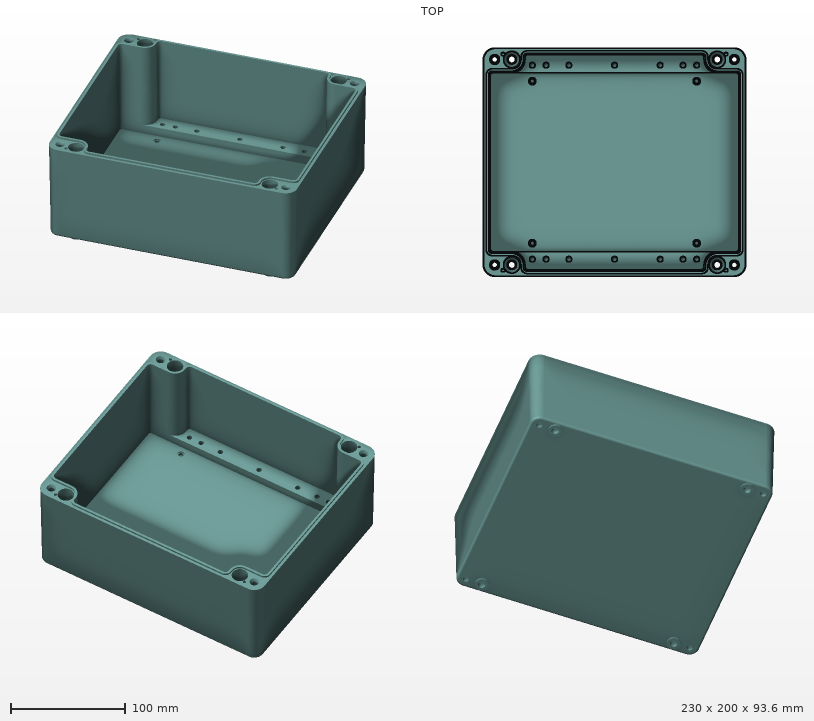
import cadquery as cq
import math

LENGTH = 230.0
WIDTH = 200.0
TOTAL_HEIGHT = 93.6
CORNER_RADIUS = 10.5
DRAFT = 1.0
BOTTOM_FILLET = 2.2
FOOT_HEIGHT = 1.2
FOOT_RADIUS = 6.2
LIP_HEIGHT = 1.8
LIP_WIDTH = 2.1
RIM_Z = TOTAL_HEIGHT - LIP_HEIGHT

CAVITY_HALF_X = 110.4
CAVITY_HALF_Y = 95.5
CAVITY_CORNER_RADIUS = 3.5
POST_X = 90.0
POST_Y = 90.0
POST_RADIUS = 10.2
FLOOR_Z = 6.0
SHELF_HEIGHT = 8.5
SHELF_Z = FLOOR_Z + SHELF_HEIGHT

BORE_RADIUS = 7.2
SEAT_RADIUS = 4.0
BORE_FLOOR_Z = 6.0
CLEARANCE_RADIUS = 3.3

CORNER_HOLE_X = 105.0
CORNER_HOLE_Y = 90.0
CORNER_HOLE_RADIUS = 2.7
CORNER_SINK_RADIUS = 4.2
CORNER_SINK_DEPTH = 2.6

PIN_HOLE_X = 97.7
PIN_HOLE_Y = 94.7
PIN_HOLE_RADIUS = 1.5
PIN_HOLE_DEPTH = 3.0

SHELF_HOLE_XS = (-72.0, -60.0, -40.0, 0.0, 40.0, 60.0, 72.0)
SHELF_HOLE_Y = 85.0
SHELF_HOLE_RADIUS = 2.4
SHELF_HOLE_DEPTH = 8.0

FLOOR_HOLE_X = 72.0
FLOOR_HOLE_Y = 71.0
FLOOR_HOLE_RADIUS = 2.1
FLOOR_HOLE_DEPTH = 3.5
FLOOR_RECESS_RADIUS = 3.1
FLOOR_RECESS_DEPTH = 1.0

DRILL_POINT_HALF_ANGLE = 59.0

QUADRANTS = [(sx, sy) for sx in (-1, 1) for sy in (-1, 1)]


def draft_inset(depth):
    """Distance a drafted wall moves inwards over a vertical depth."""
    return depth * math.tan(math.radians(DRAFT))


def rounded_rectangle(z, size_x, size_y, radius):
    outline = cq.Sketch().rect(size_x, size_y).vertices().fillet(radius)
    return cq.Workplane("XY", origin=(0, 0, z)).placeSketch(outline)


def cavity_outline(z, inset):
    """Cavity outline at height z: straight runs joined by arcs around the corners and posts."""
    half_x = CAVITY_HALF_X - inset
    half_y = CAVITY_HALF_Y - inset
    notch_x = POST_X - POST_RADIUS - inset
    notch_y = POST_Y - POST_RADIUS - inset
    corner = CAVITY_CORNER_RADIUS - inset
    post = POST_RADIUS + inset
    corner_mid = corner * math.sqrt(0.5)
    post_mid = post * math.sqrt(0.5)

    side_corner = (half_x - corner, notch_y - corner)
    end_corner = (notch_x - corner, half_y - corner)
    quarter = [
        (
            (half_x, side_corner[1]),
            (side_corner[0] + corner_mid, side_corner[1] + corner_mid),
            (side_corner[0], notch_y),
        ),
        (
            (POST_X, notch_y),
            (POST_X - post_mid, POST_Y - post_mid),
            (notch_x, POST_Y),
        ),
        (
            (notch_x, end_corner[1]),
            (end_corner[0] + corner_mid, end_corner[1] + corner_mid),
            (end_corner[0], half_y),
        ),
    ]
    arcs = []
    for sx, sy in ((1, 1), (-1, 1), (-1, -1), (1, -1)):
        mirrored = [tuple((sx * x, sy * y) for x, y in arc) for arc in quarter]
        if sx * sy < 0:
            mirrored = [arc[::-1] for arc in reversed(mirrored)]
        arcs += mirrored

    outline = cq.Workplane("XY", origin=(0, 0, z)).moveTo(*arcs[0][0])
    for index, (start, middle, end) in enumerate(arcs):
        if index:
            outline = outline.lineTo(*start)
        outline = outline.threePointArc(middle, end)
    return outline.close()


def make_shell():
    height = RIM_Z - FOOT_HEIGHT
    shell = rounded_rectangle(RIM_Z, LENGTH, WIDTH, CORNER_RADIUS).extrude(-height, taper=DRAFT)
    return shell.faces("<Z").edges().fillet(BOTTOM_FILLET)


def make_lip():
    return cavity_outline(RIM_Z, -LIP_WIDTH).extrude(LIP_HEIGHT)


def make_upper_cavity():
    """Drafted cavity from the lip down to the shelves."""
    return cavity_outline(TOTAL_HEIGHT, 0).extrude(SHELF_Z - TOTAL_HEIGHT, taper=DRAFT)


def make_lower_cavity():
    """Drafted well between the two shelves, in line with the walls above it."""
    inset = draft_inset(TOTAL_HEIGHT - SHELF_Z)
    size_x = 2 * (CAVITY_HALF_X - inset)
    size_y = 2 * (POST_Y - POST_RADIUS - inset)
    well = rounded_rectangle(SHELF_Z, size_x, size_y, CAVITY_CORNER_RADIUS - inset)
    return well.extrude(-SHELF_HEIGHT, taper=DRAFT)


def upright_cone(x, y, z, height, bottom_radius, top_radius):
    return cq.Workplane(cq.Solid.makeCone(bottom_radius, top_radius, height, cq.Vector(x, y, z)))


def upright_cylinder(x, y, z, height, radius):
    return cq.Workplane(cq.Solid.makeCylinder(radius, height, cq.Vector(x, y, z)))


def drilled_hole(x, y, top_z, depth, radius):
    """Blind hole with a conical drill point below its full-diameter depth."""
    point = radius / math.tan(math.radians(DRILL_POINT_HALF_ANGLE))
    hole = upright_cylinder(x, y, top_z - depth, depth, radius)
    return hole.union(upright_cone(x, y, top_z - depth - point, point, 0, radius))


def post_bore(x, y):
    seat_height = (BORE_RADIUS - SEAT_RADIUS) / math.tan(math.radians(DRILL_POINT_HALF_ANGLE))
    seat_top_z = BORE_FLOOR_Z + seat_height
    bore = upright_cylinder(x, y, seat_top_z, TOTAL_HEIGHT - seat_top_z, BORE_RADIUS)
    seat = upright_cone(x, y, BORE_FLOOR_Z, seat_height, SEAT_RADIUS, BORE_RADIUS)
    clearance = upright_cylinder(x, y, 0, TOTAL_HEIGHT, CLEARANCE_RADIUS)
    return bore.union(seat).union(clearance)


def corner_hole(x, y):
    sink = upright_cone(
        x, y, RIM_Z - CORNER_SINK_DEPTH, CORNER_SINK_DEPTH, CORNER_HOLE_RADIUS, CORNER_SINK_RADIUS
    )
    return sink.union(upright_cylinder(x, y, 0, RIM_Z, CORNER_HOLE_RADIUS))


def floor_hole(x, y):
    recess = upright_cylinder(x, y, FLOOR_Z - FLOOR_RECESS_DEPTH, FLOOR_RECESS_DEPTH, FLOOR_RECESS_RADIUS)
    hole = upright_cylinder(x, y, FLOOR_Z - FLOOR_HOLE_DEPTH, FLOOR_HOLE_DEPTH, FLOOR_HOLE_RADIUS)
    return recess.union(hole)


result = make_shell().union(make_lip()).cut(make_upper_cavity()).cut(make_lower_cavity())

for sx, sy in QUADRANTS:
    result = result.union(upright_cylinder(sx * POST_X, sy * POST_Y, 0, FLOOR_Z, FOOT_RADIUS))
    result = result.cut(post_bore(sx * POST_X, sy * POST_Y))
    result = result.cut(corner_hole(sx * CORNER_HOLE_X, sy * CORNER_HOLE_Y))
    pin_hole = drilled_hole(sx * PIN_HOLE_X, sy * PIN_HOLE_Y, RIM_Z, PIN_HOLE_DEPTH, PIN_HOLE_RADIUS)
    result = result.cut(pin_hole)
    result = result.cut(floor_hole(sx * FLOOR_HOLE_X, sy * FLOOR_HOLE_Y))

for x in SHELF_HOLE_XS:
    for sy in (-1, 1):
        result = result.cut(
            drilled_hole(x, sy * SHELF_HOLE_Y, SHELF_Z, SHELF_HOLE_DEPTH, SHELF_HOLE_RADIUS)
        )